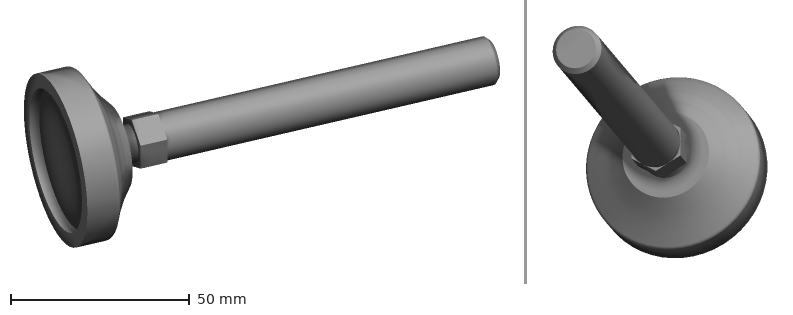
import cadquery as cq
import math

total_length = 131.0
foot_radius = 50.0 / 2
rim_height = 9.7

flare_middle_radius = 18.1
flare_middle_height = 13.8
foot_top_radius = 12.5
foot_top_height = 18.3
shoulder_fillet = 1.2

recess_radius = 41.5 / 2
recess_depth = 3.0

neck_radius = 11.0 / 2
collar_radius = 6.7
collar_top_height = 19.8

hex_start = 22.8
hex_end = 30.8
hex_across_flats = 14.0
hex_across_corners = hex_across_flats / math.cos(math.pi / 6)
stud_radius = 14.0 / 2
stud_chamfer = 1.3


def foot():
    """Turned foot with a concave flare and a rounded shoulder at the rim."""
    turned = (
        cq.Workplane("XY")
        .moveTo(0, recess_depth)
        .lineTo(recess_radius, recess_depth)
        .lineTo(recess_radius, 0)
        .lineTo(foot_radius, 0)
        .lineTo(foot_radius, rim_height)
        .threePointArc(
            (flare_middle_radius, flare_middle_height),
            (foot_top_radius, foot_top_height),
        )
        .lineTo(0, foot_top_height)
        .close()
        .revolve(360, (0, 0, 0), (0, 1, 0))
    )
    rim_edge = cq.selectors.NearestToPointSelector((0, rim_height, 0))
    return turned.edges("%CIRCLE").edges(rim_edge).fillet(shoulder_fillet)


def spindle():
    """Turned collar, neck and stud with a chamfered end."""
    return (
        cq.Workplane("XY")
        .moveTo(0, foot_top_height)
        .lineTo(collar_radius, foot_top_height)
        .lineTo(neck_radius, collar_top_height)
        .lineTo(neck_radius, hex_start)
        .lineTo(stud_radius, hex_start)
        .lineTo(stud_radius, total_length - stud_chamfer)
        .lineTo(stud_radius - stud_chamfer, total_length)
        .lineTo(0, total_length)
        .close()
        .revolve(360, (0, 0, 0), (0, 1, 0))
    )


def hexagon():
    """Wrench hexagon with its flats facing X and its corners along Z."""
    return (
        cq.Workplane("XZ", origin=(0, hex_end, 0))
        .transformed(rotate=(0, 0, 90))
        .polygon(6, hex_across_corners)
        .extrude(hex_end - hex_start)
    )


result = foot().union(spindle()).union(hexagon())